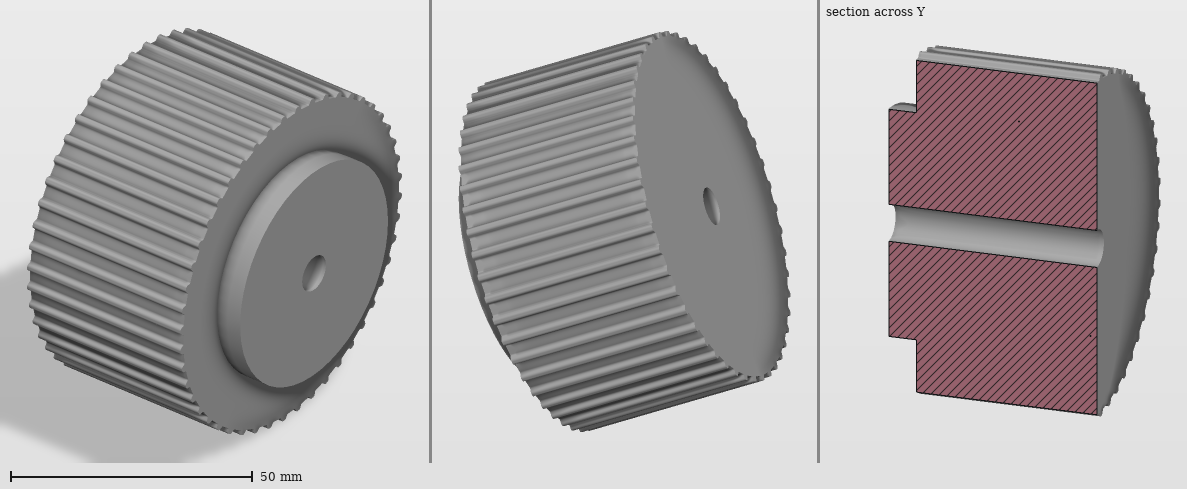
import cadquery as cq
import math

tooth_count = 48
overall_size = 75.0
root_radius = 36.5
crest_land_width = 0.4
crest_fillet = 0.6
root_fillet = 0.4
flank_slope = math.radians(25)
rim_width = 40.0
hub_width = 6.0
hub_diameter = 50.05
bore_diameter = 8.0

tooth_pitch = 2 * math.pi / tooth_count

land_half_angle = (crest_land_width / 2) / (overall_size / 2)
flank_normal_angle = math.pi / 2 - flank_slope

crest_center_radius = (overall_size / 2 - crest_fillet) / math.cos(tooth_pitch / 2 - land_half_angle)
crest_radius = crest_center_radius + crest_fillet

root_center_radius = root_radius + root_fillet
flank_to_axis = crest_center_radius * math.cos(flank_normal_angle - land_half_angle) + crest_fillet
root_center_angle = flank_normal_angle - math.acos((flank_to_axis + root_fillet) / root_center_radius)


def polar(radius, angle, center=(0, 0)):
    return (center[0] + radius * math.cos(angle), center[1] + radius * math.sin(angle))


def tooth_side(tooth_angle, side):
    """Crest fillet and root fillet on one side (-1 or 1) of a tooth.

    Each fillet is a (start, middle, end) triple, listed from crest to gap floor.
    """
    land_angle = tooth_angle + side * land_half_angle
    normal_angle = tooth_angle + side * flank_normal_angle
    floor_angle = tooth_angle + side * root_center_angle

    crest_center = polar(crest_center_radius, land_angle)
    root_center = polar(root_center_radius, floor_angle)
    crest_arc_angles = (land_angle, (land_angle + normal_angle) / 2, normal_angle)
    root_arc_angles = (normal_angle, (normal_angle + floor_angle) / 2, floor_angle)

    crest_arc = [polar(crest_fillet, angle, crest_center) for angle in crest_arc_angles]
    root_arc = [polar(-root_fillet, angle, root_center) for angle in root_arc_angles]
    return crest_arc, root_arc


def toothed_rim():
    first_angle = tooth_pitch / 2
    _, first_root_arc = tooth_side(first_angle, -1)
    profile = cq.Workplane("YZ").moveTo(*first_root_arc[2])
    for tooth in range(tooth_count):
        angle = first_angle + tooth * tooth_pitch
        rising_crest, rising_root = tooth_side(angle, -1)
        falling_crest, falling_root = tooth_side(angle, 1)
        _, next_root = tooth_side(angle + tooth_pitch, -1)
        profile = (
            profile.threePointArc(rising_root[1], rising_root[0])
            .lineTo(*rising_crest[2])
            .threePointArc(rising_crest[1], rising_crest[0])
            .threePointArc(polar(crest_radius, angle), falling_crest[0])
            .threePointArc(falling_crest[1], falling_crest[2])
            .lineTo(*falling_root[0])
            .threePointArc(falling_root[1], falling_root[2])
            .threePointArc(polar(root_radius, angle + tooth_pitch / 2), next_root[2])
        )
    return profile.close().extrude(rim_width)


def hub():
    return cq.Workplane("YZ").workplane(offset=rim_width).circle(hub_diameter / 2).extrude(hub_width)


def bore():
    return cq.Workplane("YZ").circle(bore_diameter / 2).extrude(rim_width + hub_width)


result = toothed_rim().union(hub()).cut(bore())